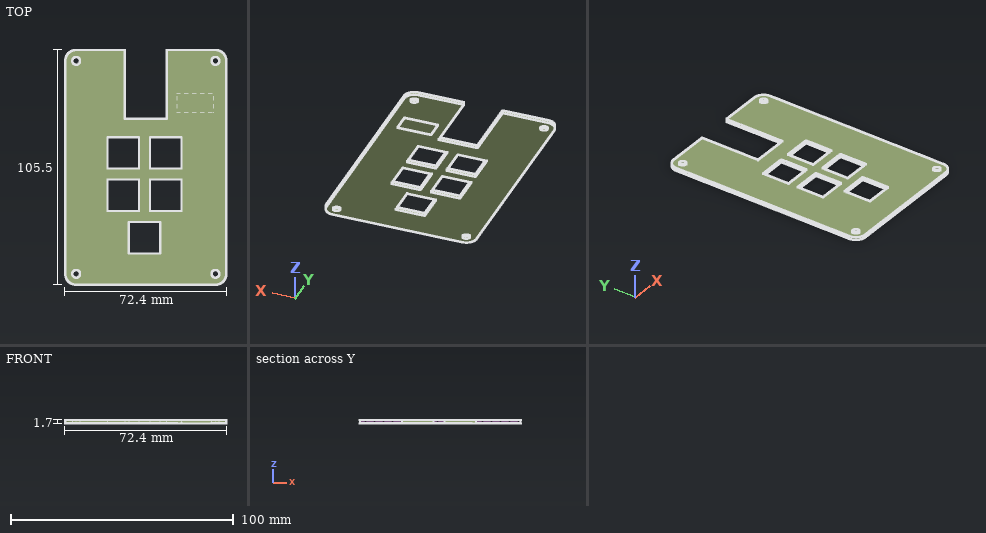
import cadquery as cq

plate_width = 72.39
plate_length = 105.47
plate_thickness = 1.5
corner_radius = 4.95

screw_hole_diameter = 3.4
screw_hole_inset = corner_radius

notch_width = 18.7
notch_depth = 30.9

key_size = 14.0
key_pitch = 19.05
key_block_center_x = -0.6
top_key_row_y = 6.5

pad_width = 16.2
pad_length = 8.7
pad_height = 0.2
pad_center_x = 22.2
pad_center_y = 28.9


def make_plate():
    return (
        cq.Workplane("XY")
        .rect(plate_width, plate_length)
        .extrude(plate_thickness)
        .edges("|Z")
        .fillet(corner_radius)
    )


def cut_screw_holes(body):
    spacing_x = plate_width - 2 * screw_hole_inset
    spacing_y = plate_length - 2 * screw_hole_inset
    holes = (
        cq.Workplane("XY")
        .rect(spacing_x, spacing_y, forConstruction=True)
        .vertices()
        .circle(screw_hole_diameter / 2)
        .extrude(plate_thickness)
    )
    return body.cut(holes)


def cut_notch(body):
    notch_center_y = (plate_length - notch_depth) / 2
    notch = (
        cq.Workplane("XY")
        .center(0, notch_center_y)
        .rect(notch_width, notch_depth)
        .extrude(plate_thickness)
    )
    return body.cut(notch)


def key_centers():
    left_x = key_block_center_x - key_pitch / 2
    right_x = key_block_center_x + key_pitch / 2
    second_row_y = top_key_row_y - key_pitch
    third_row_y = second_row_y - key_pitch
    block = [(x, y) for x in (left_x, right_x) for y in (top_key_row_y, second_row_y)]
    return block + [(key_block_center_x, third_row_y)]


def cut_key_openings(body):
    openings = (
        cq.Workplane("XY")
        .pushPoints(key_centers())
        .rect(key_size, key_size)
        .extrude(plate_thickness)
    )
    return body.cut(openings)


def add_lower_pad(body):
    pad = (
        cq.Workplane("XY")
        .center(pad_center_x, pad_center_y)
        .rect(pad_width, pad_length)
        .extrude(-pad_height)
    )
    return body.union(pad)


result = make_plate()
result = cut_screw_holes(result)
result = cut_notch(result)
result = cut_key_openings(result)
result = add_lower_pad(result)